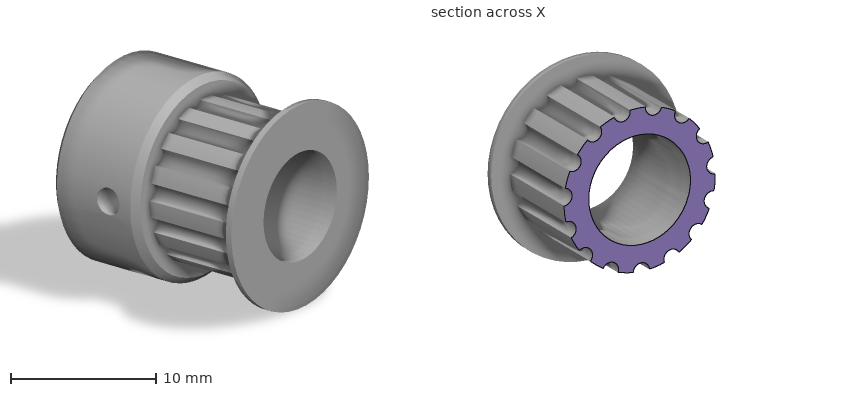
import cadquery as cq

OUTER_DIAMETER = 15.0
BORE_DIAMETER = 8.0
HUB_LENGTH = 7.5
HUB_CHAMFER = 0.5
TOOTHED_LENGTH = 8.0
FLANGE_THICKNESS = 0.5

GROOVE_COUNT = 15
GROOVE_DIAMETER = 1.25
TOOTH_TIP_DIAMETER = 12.0
FIRST_GROOVE_ANGLE = 4.65

SCREW_HOLE_DIAMETER = 2.0
SCREW_HOLE_X = 5.04
FIRST_SCREW_HOLE_ANGLE = 0.5
SCREW_HOLE_SPACING_ANGLE = 60.0
SCREW_HOLE_COUNT = 2

TOTAL_LENGTH = HUB_LENGTH + TOOTHED_LENGTH + FLANGE_THICKNESS


def disc(start_x, length, diameter):
    """Solid cylinder along X starting at start_x."""
    return cq.Workplane("YZ").workplane(offset=start_x).circle(diameter / 2).extrude(length)


def make_hub():
    return disc(0, HUB_LENGTH, OUTER_DIAMETER).edges("%CIRCLE").chamfer(HUB_CHAMFER)


def make_toothed_section():
    """Cylinder with round grooves centred on its rim, leaving the belt teeth between them."""
    grooves = (
        cq.Workplane("YZ")
        .workplane(offset=HUB_LENGTH)
        .polarArray(TOOTH_TIP_DIAMETER / 2, FIRST_GROOVE_ANGLE, 360, GROOVE_COUNT)
        .circle(GROOVE_DIAMETER / 2)
        .extrude(TOOTHED_LENGTH)
    )
    return disc(HUB_LENGTH, TOOTHED_LENGTH, TOOTH_TIP_DIAMETER).cut(grooves)


def make_flange():
    return disc(HUB_LENGTH + TOOTHED_LENGTH, FLANGE_THICKNESS, OUTER_DIAMETER)


def make_screw_hole(angle):
    """Radial cutter from the axis out through one side of the hub."""
    cutter = (
        cq.Workplane("XZ")
        .center(SCREW_HOLE_X, 0)
        .circle(SCREW_HOLE_DIAMETER / 2)
        .extrude(OUTER_DIAMETER)
    )
    return cutter.rotate((0, 0, 0), (1, 0, 0), angle)


pulley = make_hub().union(make_toothed_section()).union(make_flange())
pulley = pulley.cut(disc(0, TOTAL_LENGTH, BORE_DIAMETER))
for hole in range(SCREW_HOLE_COUNT):
    hole_angle = FIRST_SCREW_HOLE_ANGLE + hole * SCREW_HOLE_SPACING_ANGLE
    pulley = pulley.cut(make_screw_hole(hole_angle))

result = pulley